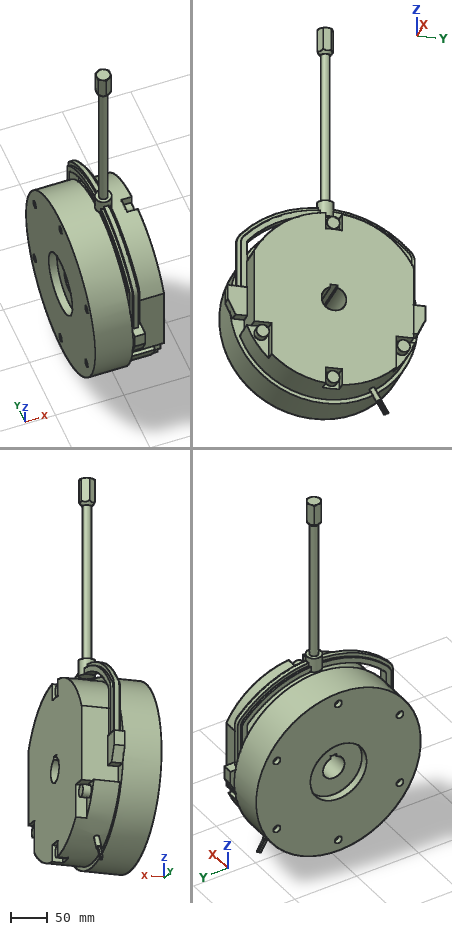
import cadquery as cq
import math


disc_radius = 133.3
disc_thickness = 55.3
recess_diameter = 91.0
recess_depth = 12.0

body_length = 108.5
housing_radius = 127.5
flat_half_width = 112.5
flat_bottom_z = -46.0

bore_diameter = 35.0
keyway_width = 10.0
keyway_top_z = 20.8

screw_count = 6
screw_circle_radius = 115.0
screw_head_diameter = 18.0
screw_head_height = 12.0
screw_pocket_width = 23.0
screw_pocket_floor_x = 93.0
tapped_hole_diameter = 11.0
tapped_hole_depth = 8.0

yoke_front_x = disc_thickness
yoke_width = 14.2
rib_width = 7.0
yoke_half_span = 125.8
yoke_top_z = 152.7
yoke_arc_radius = 166.0
yoke_corner_radius = 20.0
rib_height = 5.2
yoke_depth = 13.5

tab_half_span = 139.7
tab_width = 15.5
tab_top_z = 20.8
tab_bottom_z = -22.0
tab_bottom_half_span = 129.0
tab_embedding = 1.0

lever_x = yoke_front_x + yoke_width / 2
collar_diameter = 23.0
collar_bottom_z = 138.5
collar_top_z = 161.4
rod_diameter = 12.6
lever_top_z = 419.83
grip_across_flats = 19.6
grip_length = 38.0
grip_cone_length = 6.0
grip_cone_end_diameter = 14.0
grip_top_bevel = 0.9

cable_x = 70.2
cable_tilt = 30.0
jacket_diameter = 7.4
jacket_start_radius = 115.0
jacket_end_radius = 147.5
wire_diameter = 3.0
wire_spacing = 4.0
wire_end_radius = 168.4
wire_overlap = 2.0


def x_cylinder(diameter, x_start, x_end, y=0.0, z=0.0):
    """Cylinder along X between two X stations."""
    return (
        cq.Workplane("YZ", origin=(x_start, y, z))
        .circle(diameter / 2)
        .extrude(x_end - x_start)
    )


def z_cylinder(diameter, x, z_start, z_end):
    """Cylinder along Z at Y = 0."""
    return (
        cq.Workplane("XY", origin=(x, 0, z_start))
        .circle(diameter / 2)
        .extrude(z_end - z_start)
    )


def box_between(x_range, y_range, z_range):
    """Axis-aligned box from its limits along X, Y and Z."""
    sizes = [high - low for low, high in (x_range, y_range, z_range)]
    corner = (x_range[0], y_range[0], z_range[0])
    return cq.Workplane("XY", origin=corner).box(*sizes, centered=False)


def make_disc():
    disc = x_cylinder(2 * disc_radius, 0, disc_thickness)
    return disc.cut(x_cylinder(recess_diameter, 0, recess_depth))


def make_housing():
    """Round housing with a flat on each side that ends in a ledge below the axis."""
    housing = x_cylinder(2 * housing_radius, disc_thickness, body_length)
    side_cut = box_between(
        (disc_thickness, body_length),
        (flat_half_width, housing_radius),
        (flat_bottom_z, housing_radius),
    )
    return housing.cut(side_cut).cut(side_cut.mirror("XZ"))


def screw_positions():
    """(y, z) of the screws, the first one at the top."""
    positions = []
    for index in range(screw_count):
        angle = math.radians(90 + index * 360 / screw_count)
        positions.append((screw_circle_radius * math.cos(angle), screw_circle_radius * math.sin(angle)))
    return positions


def screw_pocket(y, z):
    """Head pocket: a radial slot at top and bottom, an open corner low on the sides."""
    half = screw_pocket_width / 2
    depth = (screw_pocket_floor_x, body_length)
    if abs(y) < half:
        slot = box_between(depth, (-half, half), (screw_circle_radius - half, housing_radius))
        return slot if z > 0 else slot.mirror("XY")
    corner = box_between(depth, (abs(y) - half, housing_radius), (-housing_radius, z + half))
    return corner if y > 0 else corner.mirror("XZ")


def add_screws(body):
    """Blind holes in the mounting face; pockets with heads at the back, except beside the flats."""
    head_end_x = screw_pocket_floor_x + screw_head_height
    for y, z in screw_positions():
        body = body.cut(x_cylinder(tapped_hole_diameter, 0, tapped_hole_depth, y, z))
        beside_flat = z > 0 and abs(y) > screw_pocket_width
        if not beside_flat:
            body = body.cut(screw_pocket(y, z))
            body = body.union(x_cylinder(screw_head_diameter, disc_thickness, head_end_x, y, z))
    return body


def arch(inset, x_start, width):
    """Filled arch outline, shrunk by an inset from the outside of the rib, standing on the tabs."""
    half_span = yoke_half_span - inset
    radius = yoke_arc_radius - inset
    centre_z = yoke_top_z - yoke_arc_radius
    shoulder_z = centre_z + math.sqrt(radius**2 - half_span**2)
    solid = (
        cq.Workplane("YZ", origin=(x_start, 0, 0))
        .moveTo(-half_span, 0)
        .lineTo(-half_span, shoulder_z)
        .threePointArc((0, centre_z + radius), (half_span, shoulder_z))
        .lineTo(half_span, 0)
        .close()
        .extrude(width)
    )
    corners = solid.edges("|X").edges(">Z")
    return corners.fillet(yoke_corner_radius - inset)


def make_yoke():
    rib_x = lever_x - rib_width / 2
    base = arch(rib_height, yoke_front_x, yoke_width)
    rib = arch(0, rib_x, rib_width)
    return base.union(rib).cut(arch(yoke_depth, yoke_front_x, yoke_width))


def make_tab():
    """Tab on the +Y side, set into the flat; its lower half tapers inward."""
    root_y = flat_half_width - tab_embedding
    return (
        cq.Workplane("YZ", origin=(yoke_front_x, 0, 0))
        .moveTo(root_y, tab_top_z)
        .lineTo(tab_half_span, tab_top_z)
        .lineTo(tab_half_span, 0)
        .lineTo(tab_bottom_half_span, tab_bottom_z)
        .lineTo(root_y, tab_bottom_z)
        .close()
        .extrude(tab_width)
    )


def make_lever():
    """Collar, rod and a hexagonal grip, coned below and bevelled on top."""
    grip_bottom_z = lever_top_z - grip_length
    corner_diameter = grip_across_flats / math.cos(math.pi / 6)
    hexagon = (
        cq.Workplane("XY", origin=(lever_x, 0, grip_bottom_z))
        .polygon(6, corner_diameter)
        .extrude(grip_length)
        .rotate((lever_x, 0, 0), (lever_x, 0, 1), 90)
    )
    envelope = (
        cq.Workplane("XZ", origin=(lever_x, 0, 0))
        .moveTo(0, grip_bottom_z)
        .lineTo(grip_cone_end_diameter / 2, grip_bottom_z)
        .lineTo(corner_diameter / 2, grip_bottom_z + grip_cone_length)
        .lineTo(corner_diameter / 2, lever_top_z - grip_top_bevel)
        .lineTo(grip_across_flats / 2, lever_top_z)
        .lineTo(0, lever_top_z)
        .close()
        .revolve(360, (0, 0, 0), (0, 1, 0))
    )
    grip = hexagon.intersect(envelope)
    collar = z_cylinder(collar_diameter, lever_x, collar_bottom_z, collar_top_z)
    rod = z_cylinder(rod_diameter, lever_x, collar_bottom_z, grip_bottom_z + grip_cone_length)
    return collar.union(rod).union(grip)


def make_cable():
    """Jacket with two wires, built pointing down and then tilted about the brake axis."""
    cable = z_cylinder(jacket_diameter, cable_x, -jacket_end_radius, -jacket_start_radius)
    for side in (-1, 1):
        wire = z_cylinder(wire_diameter, cable_x, -wire_end_radius, wire_overlap - jacket_end_radius)
        cable = cable.union(wire.translate((0, side * wire_spacing / 2, 0)))
    return cable.rotate((0, 0, 0), (1, 0, 0), cable_tilt)


def make_bore():
    bore = x_cylinder(bore_diameter, 0, body_length)
    half_key = keyway_width / 2
    keyway = box_between((0, body_length), (-half_key, half_key), (0, keyway_top_z))
    return bore.union(keyway)


body = add_screws(make_disc().union(make_housing()))
tab = make_tab()
body = body.union(tab).union(tab.mirror("XZ"))
body = body.union(make_yoke()).union(make_lever()).union(make_cable())
result = body.cut(make_bore())